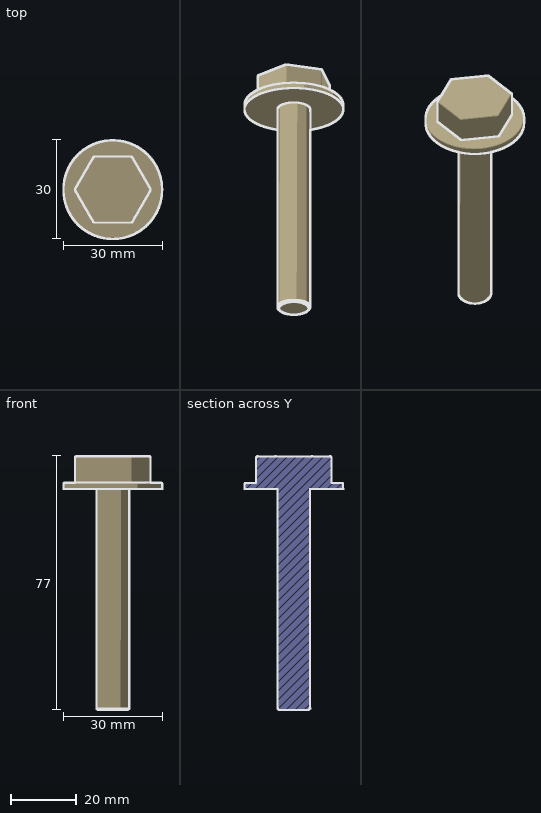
import cadquery as cq
import math

total_length = 77.0
shank_diameter = 10.0
flange_diameter = 30.0
flange_thickness = 2.0
head_height = 8.0
head_across_flats = 20.0
edge_radius = 0.5
tip_chamfer = 0.5

shank_length = total_length - head_height - flange_thickness
head_base = shank_length + flange_thickness
head_across_corners = head_across_flats / math.cos(math.pi / 6)


def make_shank():
    """Plain cylinder with a chamfered tip."""
    shank = cq.Workplane("XY").circle(shank_diameter / 2).extrude(shank_length)
    return shank.faces("<Z").edges().chamfer(tip_chamfer)


def make_flange():
    """Round washer face with a rounded upper rim."""
    flange = cq.Workplane("XY", origin=(0, 0, shank_length))
    flange = flange.circle(flange_diameter / 2).extrude(flange_thickness)
    return flange.faces(">Z").edges().fillet(edge_radius)


def make_head():
    """Hexagon with two corners on the X axis, rounded on its corners and top."""
    head = cq.Workplane("XY", origin=(0, 0, head_base))
    head = head.polygon(6, head_across_corners).extrude(head_height)
    return head.edges("|Z or >Z").fillet(edge_radius)


result = make_shank().union(make_flange()).union(make_head())